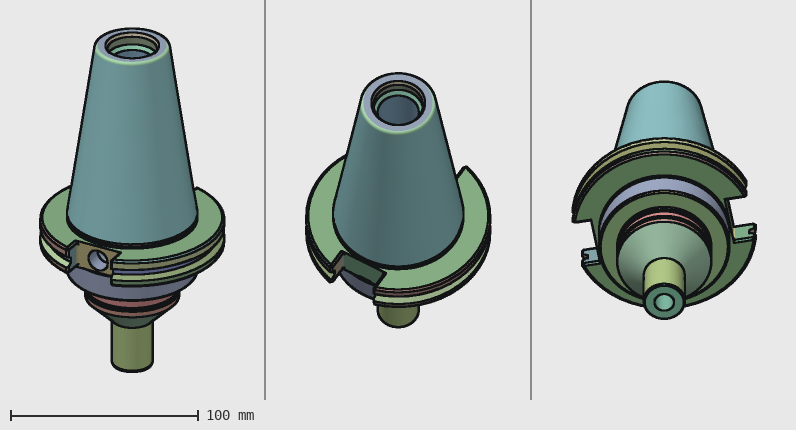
import cadquery as cq
import math

total_height = 192.7

gauge_radius = 69.8 / 2
taper_length = 101.7
taper_slope = 7 / 48
top_fillet = 1.7
gauge_z = total_height - taper_length
top_radius = gauge_radius - taper_slope * taper_length

relief_depth = 0.5
upper_relief_z = 89.2
lower_relief_z = 71.3

flange_radius = 49.1
flange_top_z = 88.3
flange_bottom_z = 72.5
flange_height = flange_top_z - flange_bottom_z
flange_chamfer = 1.2
groove_z = 79.8
groove_depth = 3.5
groove_mouth = 6.7
groove_flank_angle = 30.0
groove_run_out = 2.0

slot_width = 25.6
slot_floor_front = 37.2
slot_floor_back = 35.3
slot_corner_radius = 0.8
slot_edge_chamfer = 1.2

dimple_diameter = 11.8
dimple_depth = 9.6
drill_point_angle = 118.0

body_radius = gauge_radius
body_top_z = 70.1
body_bottom_z = 56.0
body_chamfer = 1.0

collar_radius = 50.5 / 2
ring_floor_radius = 50.0 / 2
ring_groove_zs = (52.6, 45.9)
ring_mouth = 2.3
ring_floor = 1.2
collar_bottom_z = 42.0

stem_radius = 22.0 / 2
cone_bottom_z = 27.2
cone_top_radius = 25.0
cone_top_z = cone_bottom_z + cone_top_radius - stem_radius
stem_chamfer_width = 0.5
stem_chamfer_height = 1.2

through_radius = 10.5 / 2
mouth_radius = 28.7 / 2
counterbore_radius = 26.4 / 2
bore_radius = 22.0 / 2
mouth_chamfer_height = 2.0
counterbore_depth = 6.5
bore_depth = 38.5


def drill_point_height(radius):
    """Height of a drill point cone of the given radius."""
    return radius / math.tan(math.radians(drill_point_angle / 2))


def revolve_profile(points):
    """Turn an (r, z) outline around the Z axis."""
    return cq.Workplane("XZ").polyline(points).close().revolve(360, (0, 0, 0), (0, 1, 0))


def ring_groove_points(center_z):
    """Upper to lower corners of one ring groove on the collar."""
    return [
        (collar_radius, center_z + ring_mouth / 2),
        (ring_floor_radius, center_z + ring_floor / 2),
        (ring_floor_radius, center_z - ring_floor / 2),
        (collar_radius, center_z - ring_mouth / 2),
    ]


def make_shank():
    """Taper, body, collar, cone and stem as one turned solid."""
    points = [
        (0, total_height),
        (top_radius, total_height),
        (gauge_radius, gauge_z),
        (gauge_radius - relief_depth, upper_relief_z),
        (gauge_radius, flange_top_z),
        (gauge_radius, flange_bottom_z),
        (gauge_radius - relief_depth, lower_relief_z),
        (body_radius, body_top_z),
        (body_radius, body_bottom_z + body_chamfer),
        (body_radius - body_chamfer, body_bottom_z),
        (collar_radius, body_bottom_z),
    ]
    for center_z in ring_groove_zs:
        points += ring_groove_points(center_z)
    points += [
        (collar_radius, collar_bottom_z),
        (cone_top_radius, cone_top_z),
        (stem_radius, cone_bottom_z),
        (stem_radius, stem_chamfer_height),
        (stem_radius - stem_chamfer_width, 0),
        (0, 0),
    ]
    return revolve_profile(points).faces(">Z").edges().fillet(top_fillet)


def make_slot(floor_distance, direction):
    """Cutter for one drive slot, open outward along +Y or -Y."""
    length = flange_radius
    center_y = direction * (floor_distance + length / 2)
    return (
        cq.Workplane("XY", origin=(0, center_y, flange_bottom_z))
        .rect(slot_width, length)
        .extrude(flange_height)
    )


def is_outer_wall_edge(edge):
    """True for slot wall edges on the flange faces and rim, false for the floor corners."""
    box = edge.BoundingBox()
    runs_along_floor_corner = box.ylen < slot_corner_radius and abs(edge.Center().y) < slot_floor_front + 2
    return not runs_along_floor_corner


def make_groove():
    """Cutter for the gripper V groove."""
    flank = math.tan(math.radians(groove_flank_angle))
    floor_half = groove_mouth / 2 - groove_depth * flank
    outer_half = groove_mouth / 2 + groove_run_out * flank
    floor_radius = flange_radius - groove_depth
    outer_radius = flange_radius + groove_run_out
    return revolve_profile([
        (outer_radius, groove_z + outer_half),
        (floor_radius, groove_z + floor_half),
        (floor_radius, groove_z - floor_half),
        (outer_radius, groove_z - outer_half),
    ])


def make_flange():
    """Flange disc with two drive slots, their broken edges and the V groove."""
    disc = (
        cq.Workplane("XY", origin=(0, 0, flange_bottom_z))
        .circle(flange_radius)
        .extrude(flange_height)
        .faces("<Z or >Z")
        .chamfer(flange_chamfer)
    )
    disc = disc.cut(make_slot(slot_floor_back, 1)).cut(make_slot(slot_floor_front, -1))
    wall_edges = [edge for edge in disc.faces("|X").edges().vals() if is_outer_wall_edge(edge)]
    disc = disc.newObject(wall_edges).chamfer(slot_edge_chamfer)
    disc = disc.faces("|Y").edges("|Z").fillet(slot_corner_radius)
    return disc.cut(make_groove())


def make_dimple():
    """Cutter for the drilled dimple with its conical bottom."""
    radius = dimple_diameter / 2
    profile = [
        (0, 0),
        (radius, 0),
        (radius, -dimple_depth),
        (0, -dimple_depth - drill_point_height(radius)),
    ]
    return (
        revolve_profile(profile)
        .rotate((0, 0, 0), (1, 0, 0), 90)
        .translate((0, -slot_floor_front, groove_z))
    )


def make_bore():
    """Cutter for the axial bore: mouth chamfer, counterbore, main bore and through hole."""
    counterbore_z = total_height - counterbore_depth
    bore_z = total_height - bore_depth
    return revolve_profile([
        (0, total_height),
        (mouth_radius, total_height),
        (counterbore_radius, total_height - mouth_chamfer_height),
        (counterbore_radius, counterbore_z),
        (bore_radius, counterbore_z - (counterbore_radius - bore_radius)),
        (bore_radius, bore_z),
        (through_radius, bore_z - drill_point_height(bore_radius) + drill_point_height(through_radius)),
        (through_radius, 0),
        (0, 0),
    ])


result = make_shank().union(make_flange()).cut(make_bore()).cut(make_dimple())